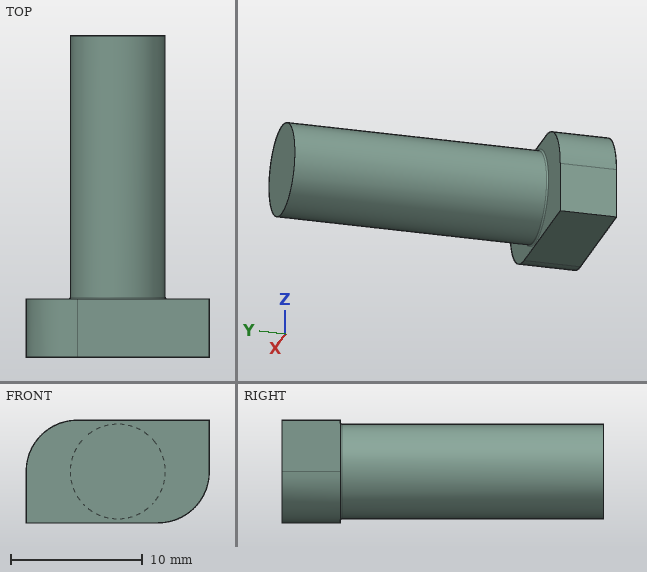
import cadquery as cq

head_width = 13.9
head_height = 7.8
head_thickness = 4.45
corner_radius = head_height / 2

total_length = 24.4
shank_diameter = 7.2
shank_length = total_length - head_thickness

root_fillet = 0.12


def make_head():
    """Plate starting at Y = 0, rounded at its upper -X and lower +X corners."""
    half_width = head_width / 2
    half_height = head_height / 2
    outline = (
        cq.Workplane("XZ")
        .moveTo(-half_width, -half_height)
        .lineTo(half_width - corner_radius, -half_height)
        .radiusArc((half_width, -half_height + corner_radius), -corner_radius)
        .lineTo(half_width, half_height)
        .lineTo(-half_width + corner_radius, half_height)
        .radiusArc((-half_width, half_height - corner_radius), -corner_radius)
        .close()
    )
    return outline.extrude(-head_thickness)


def add_shank(head):
    """Join the shank to the back of the head and blend its root."""
    shank = (
        cq.Workplane("XZ", origin=(0, head_thickness, 0))
        .circle(shank_diameter / 2)
        .extrude(-shank_length)
    )
    root_edge = cq.selectors.NearestToPointSelector((0, head_thickness, 0))
    return head.union(shank).edges("%CIRCLE").edges(root_edge).fillet(root_fillet)


result = add_shank(make_head())